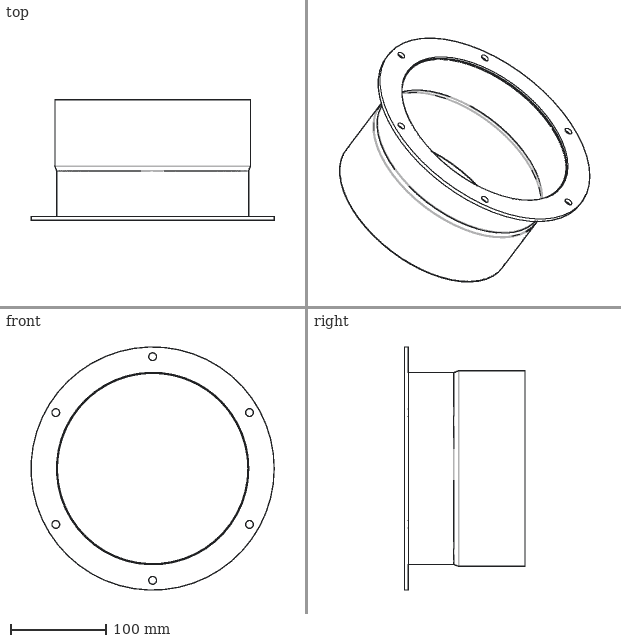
import cadquery as cq

flange_diameter = 256.0
flange_thickness = 4.0
flange_bore_diameter = 202.5

bolt_circle_diameter = 235.3
bolt_hole_diameter = 8.0
bolt_count = 6
first_bolt_angle = 90

overall_depth = 127.0
wall = 1.0
neck_diameter = 202.2
socket_diameter = 206.0
duct_front = flange_thickness / 2
flare_start = 52.0
flare_end = 57.0
bend_inside_radius = 1.0
bend_outside_radius = bend_inside_radius + wall


def make_flange():
    """Ring with bolt holes, extending from Y = 0 toward +Y."""
    front_plane = cq.Workplane("XZ")
    ring = (
        front_plane.circle(flange_diameter / 2)
        .circle(flange_bore_diameter / 2)
        .extrude(-flange_thickness)
    )
    bolt_holes = (
        front_plane.polarArray(bolt_circle_diameter / 2, first_bolt_angle, 360, bolt_count)
        .circle(bolt_hole_diameter / 2)
        .extrude(-flange_thickness)
    )
    return ring.cut(bolt_holes)


def round_bend(tube, edge_radius, edge_y, bend_radius):
    """Fillet the circular edge of the given radius at the given Y."""
    tolerance = wall / 4
    bend_edges = [
        edge
        for edge in tube.edges("%CIRCLE").vals()
        if abs(edge.radius() - edge_radius) < tolerance and abs(edge.Center().y - edge_y) < tolerance
    ]
    return tube.newObject(bend_edges).fillet(bend_radius)


def make_duct():
    """Tube with a conical flare and rounded bends, revolved about the Y axis."""
    neck_outer = neck_diameter / 2
    neck_inner = neck_outer - wall
    socket_outer = socket_diameter / 2
    socket_inner = socket_outer - wall
    wall_section = [
        (neck_inner, duct_front),
        (neck_outer, duct_front),
        (neck_outer, flare_start),
        (socket_outer, flare_end),
        (socket_outer, overall_depth),
        (socket_inner, overall_depth),
        (socket_inner, flare_end),
        (neck_inner, flare_start),
    ]
    tube = cq.Workplane("XY").polyline(wall_section).close().revolve(360, (0, 0, 0), (0, 1, 0))
    tube = round_bend(tube, neck_outer, flare_start, bend_inside_radius)
    tube = round_bend(tube, neck_inner, flare_start, bend_outside_radius)
    tube = round_bend(tube, socket_outer, flare_end, bend_outside_radius)
    return round_bend(tube, socket_inner, flare_end, bend_inside_radius)


flange = make_flange()
duct = make_duct()

result = cq.Compound.makeCompound([flange.val(), duct.val()])